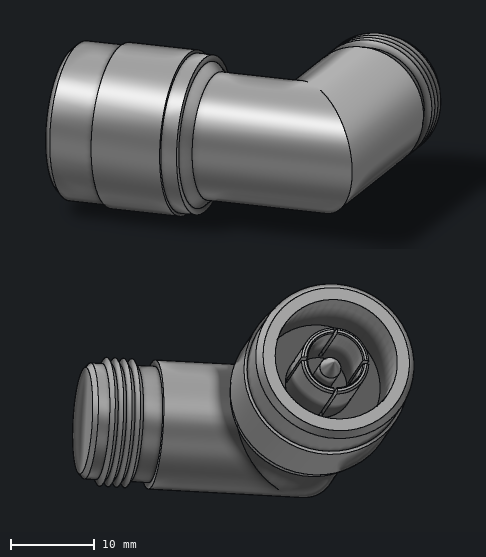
import cadquery as cq


body_radius = 7.75
overall_length = 38.7
plug_face_x = body_radius - overall_length
jack_face_y = 24.9
jack_length = 8.4
body_end_y = jack_face_y - jack_length

nut_radius = 9.65
nut_face_radius = 8.9
nut_chamfer_length = 0.8
band_radius = 10.03
band_start = 6.25
band_end = 15.0
nut_end = 17.0
cone_radius = 8.85
cone_end = 18.27
bore_radius = 7.45
bore_depth = 10.85

sleeve_radius = 4.1
sleeve_bore_radius = 3.35
sleeve_front = 0.45
sleeve_outer_chamfer = 0.27
sleeve_inner_chamfer = 0.15
slot_width = 0.43
slot_end = 10.05

pin_radius = 1.28
pin_shoulder_radius = 0.77
pin_tip = 0.93
pin_tip_length = 1.55
pin_taper_length = 1.15

jack_radius = 6.95
jack_chamfer = 0.6
thread_start = 1.97
thread_length = 4.1
thread_count = 4
thread_pitch = thread_length / thread_count
thread_crest_radius = body_radius


def turned(profile, face_x):
    """Revolve (station, radius) points about X; stations start at face_x and grow toward +X."""
    points = [(face_x + station, radius) for station, radius in profile]
    return cq.Workplane("XY").polyline(points).close().revolve(360, (0, 0, 0), (1, 0, 0))


def make_elbow():
    path = cq.Workplane("XY").moveTo(plug_face_x + bore_depth, 0).lineTo(0, 0).lineTo(0, body_end_y)
    section = cq.Workplane("YZ", origin=(plug_face_x + bore_depth, 0, 0)).circle(body_radius)
    return section.sweep(path, transition="right")


def make_nut():
    outline = [
        (0, bore_radius),
        (0, nut_face_radius),
        (nut_chamfer_length, nut_radius),
        (band_start, nut_radius),
        (band_start, band_radius),
        (band_end, band_radius),
        (band_end, nut_radius),
        (nut_end, nut_radius),
        (nut_end, cone_radius),
        (cone_end, body_radius),
        (cone_end, 0),
        (bore_depth, 0),
        (bore_depth, bore_radius),
    ]
    return turned(outline, plug_face_x)


def make_sleeve():
    outline = [
        (sleeve_front, sleeve_bore_radius + sleeve_inner_chamfer),
        (sleeve_front, sleeve_radius - sleeve_outer_chamfer),
        (sleeve_front + sleeve_outer_chamfer, sleeve_radius),
        (bore_depth, sleeve_radius),
        (bore_depth, sleeve_bore_radius),
        (sleeve_front + sleeve_inner_chamfer, sleeve_bore_radius),
    ]
    sleeve = turned(outline, plug_face_x)
    slot_length = slot_end - sleeve_front
    slot_centre_x = plug_face_x + (sleeve_front + slot_end) / 2
    across = 2 * sleeve_radius
    for size_y, size_z in ((slot_width, across), (across, slot_width)):
        slot = cq.Workplane("XY").box(slot_length, size_y, size_z)
        sleeve = sleeve.cut(slot.translate((slot_centre_x, 0, 0)))
    return sleeve


def make_pin():
    shoulder = pin_tip + pin_tip_length
    outline = [
        (pin_tip, 0),
        (shoulder, pin_shoulder_radius),
        (shoulder + pin_taper_length, pin_radius),
        (bore_depth, pin_radius),
        (bore_depth, 0),
    ]
    return turned(outline, plug_face_x)


def make_jack():
    outline = [
        (0, 0),
        (0, jack_radius - jack_chamfer),
        (jack_chamfer, jack_radius),
        (thread_start, jack_radius),
    ]
    for ridge in range(thread_count):
        ridge_start = thread_start + ridge * thread_pitch
        outline.append((ridge_start + thread_pitch / 2, thread_crest_radius))
        outline.append((ridge_start + thread_pitch, jack_radius))
    outline += [(jack_length, jack_radius), (jack_length, 0)]
    return turned(outline, -jack_face_y).rotate((0, 0, 0), (0, 0, 1), -90)


result = make_elbow().union(make_nut()).union(make_sleeve()).union(make_pin()).union(make_jack())